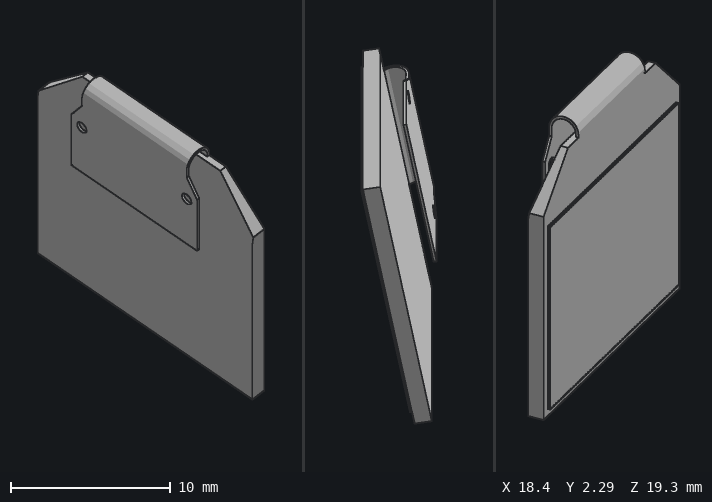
import cadquery as cq

OVERALL_HEIGHT = 19.3

PLATE_WIDTH = 18.45
PLATE_HEIGHT = 18.06
PLATE_THICKNESS = 1.1
PLATE_TOP_THICKNESS = 0.52
TAPER_START_Z = 14.26
CORNER_CUT = 3.3

SHEET_THICKNESS = 0.2
BEND_RADIUS = 1.05
CLIP_WIDTH = 9.0
TAB_WIDTH = 10.79
TAB_BOTTOM_Z = 11.58
SHOULDER_LOW_Z = 16.23
SHOULDER_HIGH_Z = 17.64
HOLE_DIAMETER = 0.81
HOLE_SPACING = CLIP_WIDTH
HOLE_Z = 15.67

LAYER_WIDTH = 17.37
LAYER_HEIGHT = 13.24
LAYER_BOTTOM_Z = (PLATE_WIDTH - LAYER_WIDTH) / 2
INNER_LAYER_THICKNESS = 0.14
OUTER_LAYER_THICKNESS = 0.05

BEND_CENTRE_Z = OVERALL_HEIGHT - BEND_RADIUS
INNER_BEND_RADIUS = BEND_RADIUS - SHEET_THICKNESS
CLIP_FRONT_Y = -2 * BEND_RADIUS


def make_plate():
    """Plate with its front face sloping back towards a thinner, corner-cut top."""
    plate = (
        cq.Workplane("YZ")
        .moveTo(0, 0)
        .lineTo(-PLATE_THICKNESS, 0)
        .lineTo(-PLATE_THICKNESS, TAPER_START_Z)
        .lineTo(-PLATE_TOP_THICKNESS, PLATE_HEIGHT)
        .lineTo(0, PLATE_HEIGHT)
        .close()
        .extrude(PLATE_WIDTH / 2, both=True)
    )
    for side in (-1, 1):
        corner = (
            cq.Workplane("XZ")
            .moveTo(side * PLATE_WIDTH / 2, PLATE_HEIGHT)
            .lineTo(side * (PLATE_WIDTH / 2 - CORNER_CUT), PLATE_HEIGHT)
            .lineTo(side * PLATE_WIDTH / 2, PLATE_HEIGHT - CORNER_CUT)
            .close()
            .extrude(PLATE_THICKNESS)
        )
        plate = plate.cut(corner)
    return plate


def make_hook():
    """Half-round bend with a short back leg standing on the top edge of the plate."""
    return (
        cq.Workplane("YZ")
        .moveTo(0, PLATE_HEIGHT)
        .lineTo(0, BEND_CENTRE_Z)
        .threePointArc((-BEND_RADIUS, OVERALL_HEIGHT), (CLIP_FRONT_Y, BEND_CENTRE_Z))
        .lineTo(CLIP_FRONT_Y + SHEET_THICKNESS, BEND_CENTRE_Z)
        .threePointArc(
            (-BEND_RADIUS, BEND_CENTRE_Z + INNER_BEND_RADIUS),
            (-SHEET_THICKNESS, BEND_CENTRE_Z),
        )
        .lineTo(-SHEET_THICKNESS, PLATE_HEIGHT)
        .close()
        .extrude(CLIP_WIDTH / 2, both=True)
    )


def make_tab():
    """Flat front leg of the clip, widened below its sloped shoulders, with two holes."""
    tab = (
        cq.Workplane("XZ", origin=(0, CLIP_FRONT_Y + SHEET_THICKNESS, 0))
        .moveTo(-TAB_WIDTH / 2, TAB_BOTTOM_Z)
        .lineTo(TAB_WIDTH / 2, TAB_BOTTOM_Z)
        .lineTo(TAB_WIDTH / 2, SHOULDER_LOW_Z)
        .lineTo(CLIP_WIDTH / 2, SHOULDER_HIGH_Z)
        .lineTo(CLIP_WIDTH / 2, BEND_CENTRE_Z)
        .lineTo(-CLIP_WIDTH / 2, BEND_CENTRE_Z)
        .lineTo(-CLIP_WIDTH / 2, SHOULDER_HIGH_Z)
        .lineTo(-TAB_WIDTH / 2, SHOULDER_LOW_Z)
        .close()
        .extrude(SHEET_THICKNESS)
    )
    holes = (
        cq.Workplane("XZ", origin=(0, CLIP_FRONT_Y + SHEET_THICKNESS, 0))
        .pushPoints([(-HOLE_SPACING / 2, HOLE_Z), (HOLE_SPACING / 2, HOLE_Z)])
        .circle(HOLE_DIAMETER / 2)
        .extrude(SHEET_THICKNESS)
    )
    return tab.cut(holes)


def make_clip_plate():
    """Plate and clip formed as one piece."""
    return make_plate().union(make_hook()).union(make_tab())


def make_layer(front_y, thickness):
    """Thin rectangular layer whose front face lies at front_y."""
    return (
        cq.Workplane("XY", origin=(0, front_y, LAYER_BOTTOM_Z))
        .box(LAYER_WIDTH, thickness, LAYER_HEIGHT, centered=(True, False, False))
    )


clip_plate = make_clip_plate()
inner_layer = make_layer(0, INNER_LAYER_THICKNESS)
outer_layer = make_layer(INNER_LAYER_THICKNESS, OUTER_LAYER_THICKNESS)

result = cq.Compound.makeCompound([clip_plate.val(), inner_layer.val(), outer_layer.val()])